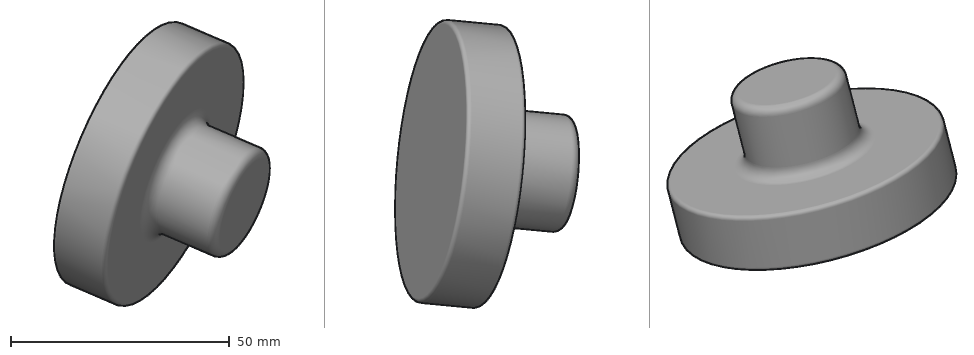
import cadquery as cq

disc_diameter = 65.0
disc_thickness = 14.0
hub_diameter = 27.0
overall_length = 32.0
disc_edge_radius = 1.0
hub_end_radius = 2.0
hub_root_radius = 3.0

hub_length = overall_length - disc_thickness

disc = (
    cq.Workplane("YZ")
    .circle(disc_diameter / 2)
    .extrude(disc_thickness)
    .edges()
    .fillet(disc_edge_radius)
)

knob = disc.faces(">X").workplane().circle(hub_diameter / 2).extrude(hub_length)

knob = knob.faces(">X").edges().fillet(hub_end_radius)

shoulder = knob.faces("|X").faces(">X[-2]")
inner_edge = cq.selectors.RadiusNthSelector(0)
result = shoulder.edges(inner_edge).fillet(hub_root_radius)